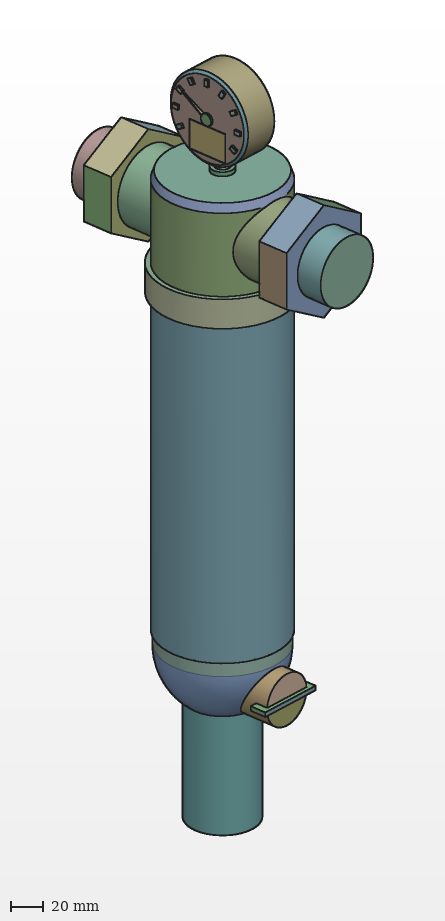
import cadquery as cq
import math

overall_height = 523.0
pipe_diameter = 49.0
body_diameter = 88.0
body_bottom_z = 130.5
bowl_radius = 43.0
bowl_rim_z = 121.0
bowl_bottom_z = 83.0
collar_diameter = 95.0
collar_bottom_z = 365.5
collar_height = 20.5
head_top_z = 450.0
head_bevel_width = 2.2
head_bevel_height = 6.0

port_span = 205.0
port_z = 417.0
port_neck_diameter = 56.0
port_end_diameter = 48.0
hexagon_sides = 6
nut_across_flats = 68.0
nut_inner_x = 61.0
nut_width = 22.5

drain_diameter = 36.0
drain_end_x = 53.0
drain_z = 100.6
handle_start_x = 44.0
handle_end_x = 56.0
handle_width = 46.0
handle_thickness = 3.2

gauge_diameter = 64.0
gauge_z = overall_height - gauge_diameter / 2
gauge_back_y = 12.0
gauge_depth = 25.6
bezel_width = 2.0
bezel_depth = 1.6
dial_y = gauge_back_y - gauge_depth
marker_count = 9
marker_step = 30.0
first_marker_angle = -30.0
marker_circle_radius = 25.5
marker_length = 4.5
marker_width = 3.0
dial_relief = 1.5
hub_diameter = 8.5
needle_angle = 150.0
needle_length = 23.0
needle_root_radius = 1.5
needle_tip_radius = 0.5
label_width = 29.5
label_height = 20.5
label_top_drop = 5.0
label_relief = 0.4

stem_diameter = 10.0
stem_flange_diameter = 16.0
stem_flange_height = 3.0
stem_nut_across_flats = 14.0
stem_nut_bottom_z = 456.0
stem_nut_embed = 3.0


def cylinder_z(diameter, bottom_z, top_z):
    return cq.Workplane("XY").workplane(offset=bottom_z).circle(diameter / 2).extrude(top_z - bottom_z)


def hexagon_corner_diameter(across_flats):
    return across_flats / math.cos(math.pi / hexagon_sides)


def make_bowl():
    """Straight rim that curves in, tangent to the rim, until it meets the pipe."""
    pipe_radius = pipe_diameter / 2
    drop = bowl_rim_z - bowl_bottom_z
    inset = bowl_radius - pipe_radius
    arc_radius = (drop**2 + inset**2) / (2 * inset)
    half_sweep = math.asin(drop / arc_radius) / 2
    arc_middle = (
        bowl_radius - arc_radius * (1 - math.cos(half_sweep)),
        bowl_rim_z - arc_radius * math.sin(half_sweep),
    )
    profile = (
        cq.Workplane("XZ")
        .moveTo(0, bowl_bottom_z)
        .lineTo(pipe_radius, bowl_bottom_z)
        .threePointArc(arc_middle, (bowl_radius, bowl_rim_z))
        .lineTo(bowl_radius, body_bottom_z)
        .lineTo(0, body_bottom_z)
        .close()
    )
    return profile.revolve(360, (0, 0, 0), (0, 1, 0))


def make_housing():
    """Pipe, rounded bowl, body, collar and bevelled head, stacked along Z."""
    pipe = cylinder_z(pipe_diameter, 0, bowl_bottom_z)
    bowl = make_bowl()
    body = cylinder_z(body_diameter, body_bottom_z, head_top_z)
    body = body.faces(">Z").chamfer(head_bevel_height, head_bevel_width)
    collar = cylinder_z(collar_diameter, collar_bottom_z, collar_bottom_z + collar_height)
    return pipe.union(bowl).union(body).union(collar)


def make_port(side):
    """Neck, hexagonal union nut and pipe end; side is +1 for +X and -1 for -X."""
    axis_plane = cq.Workplane("YZ", origin=(0, 0, port_z))
    neck = axis_plane.circle(port_neck_diameter / 2).extrude(side * (nut_inner_x + nut_width / 2))
    pipe_end = axis_plane.circle(port_end_diameter / 2).extrude(side * port_span / 2)
    nut = (
        cq.Workplane("YZ", origin=(side * nut_inner_x, 0, port_z))
        .transformed(rotate=(0, 0, 90))
        .polygon(hexagon_sides, hexagon_corner_diameter(nut_across_flats))
        .extrude(side * nut_width)
    )
    return neck.union(pipe_end).union(nut)


def make_drain():
    """Horizontal drain outlet with a flat cross handle through its end."""
    outlet = (
        cq.Workplane("YZ", origin=(0, 0, drain_z))
        .circle(drain_diameter / 2)
        .extrude(drain_end_x)
    )
    handle_length = handle_end_x - handle_start_x
    handle = (
        cq.Workplane("XY")
        .box(handle_length, handle_width, handle_thickness)
        .translate((handle_start_x + handle_length / 2, 0, drain_z))
    )
    return outlet.union(handle)


def make_stem():
    """Round flange on the head, thin neck and hexagonal nut below the gauge."""
    flange = cylinder_z(stem_flange_diameter, head_top_z, head_top_z + stem_flange_height)
    neck = cylinder_z(stem_diameter, head_top_z, gauge_z)
    nut_top_z = gauge_z - gauge_diameter / 2 + stem_nut_embed
    nut = (
        cq.Workplane("XY")
        .workplane(offset=stem_nut_bottom_z)
        .polygon(hexagon_sides, hexagon_corner_diameter(stem_nut_across_flats))
        .extrude(nut_top_z - stem_nut_bottom_z)
    )
    return flange.union(neck).union(nut)


def dial_plane():
    """Plane on the dial face, with its normal pointing out of the gauge along -Y."""
    return cq.Workplane("XZ", origin=(0, dial_y, gauge_z))


def make_gauge():
    """Round case with a bevelled bezel, scale markers, label plate, hub and needle."""
    case = (
        cq.Workplane("XZ", origin=(0, gauge_back_y, gauge_z))
        .circle(gauge_diameter / 2)
        .extrude(gauge_depth)
        .faces("<Y")
        .chamfer(bezel_depth, bezel_width)
    )
    markers = (
        dial_plane()
        .polarArray(
            marker_circle_radius,
            first_marker_angle,
            marker_step * (marker_count - 1),
            marker_count,
        )
        .rect(marker_length, marker_width)
        .extrude(dial_relief)
    )
    label = (
        dial_plane()
        .center(0, -label_top_drop - label_height / 2)
        .rect(label_width, label_height)
        .extrude(label_relief)
    )
    hub = dial_plane().circle(hub_diameter / 2).extrude(dial_relief)
    needle_direction = cq.Vector(
        math.cos(math.radians(needle_angle)),
        0,
        math.sin(math.radians(needle_angle)),
    )
    needle = cq.Workplane(
        cq.Solid.makeCone(
            needle_root_radius,
            needle_tip_radius,
            needle_length,
            cq.Vector(0, dial_y, gauge_z),
            needle_direction,
        )
    )
    return case.union(markers).union(label).union(hub).union(needle)


result = make_housing()
for side in (1, -1):
    result = result.union(make_port(side))
result = result.union(make_drain()).union(make_stem()).union(make_gauge())